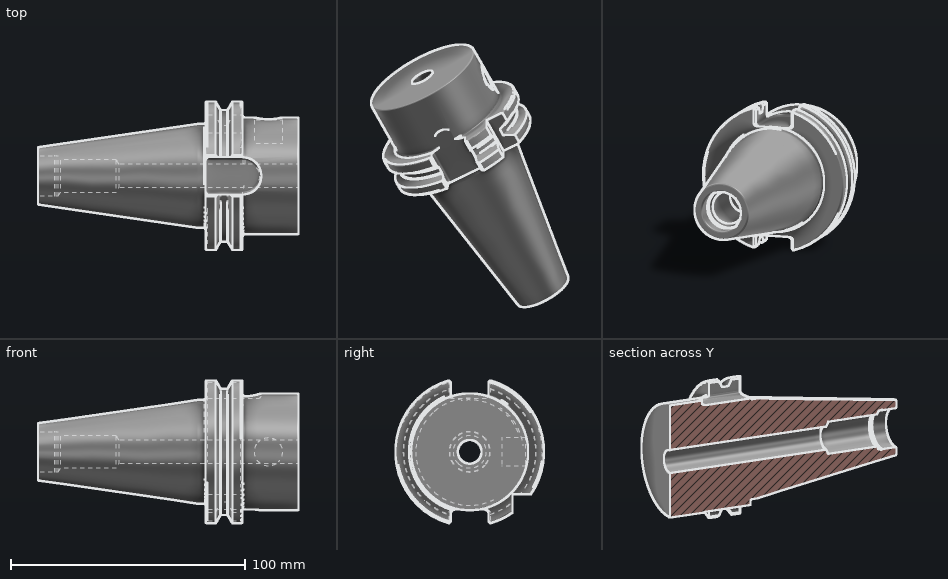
import cadquery as cq
import math


gauge_diameter = 44.5
gauge_x = 68.3
taper_ratio = 7 / 24
small_end_diameter = gauge_diameter - gauge_x * taper_ratio
small_end_fillet = 0.8
taper_root_fillet = 0.7

flange_diameter = 63.5
flange_front_x = 71.5
flange_thickness = 15.8
flange_rear_x = flange_front_x + flange_thickness
flange_edge_fillet = 0.8
groove_center_x = 79.4
groove_top_width = 7.2
groove_floor_diameter = 56.3
groove_half_angle = 30
groove_floor_fillet = 0.5

nose_diameter = 50.0
total_length = 111.2
nose_root_fillet = 1.0
nose_edge_fillet = 0.6

slot_width = 16.0
slot_fillet = 1.6
slot_chamfer = 0.9
slot_chamfer_angle = 45
upper_slot_floor = 22.7
lower_slot_floor = 24.7

notch_y = 18.4
notch_z = -18.1

coolant_diameter = 10.0
thread_core_diameter = 14.0
thread_end_x = 33.4
pilot_diameter = 17.0
pilot_depth = 8.7
pilot_mouth_fillet = 0.8
relief_diameter = 17.5
relief_front_x = 7.1
relief_rear_x = 7.8
step_half_angle = 60

screw_diameter = 12.0
screw_x = 98.3
screw_length = 10.0
screw_top_y = 23.8

flange_radius = flange_diameter / 2
nose_radius = nose_diameter / 2

edge_match_tolerance = 0.01


def round_circle(body, x, diameter, fillet_radius):
    """Fillet the circular edge of this diameter that is centred on the X axis at this x."""

    def is_wanted(edge):
        right_place = abs(edge.Center().x - x) < edge_match_tolerance
        right_size = abs(edge.radius() - diameter / 2) < edge_match_tolerance
        return right_place and right_size

    return body.edges("%CIRCLE").filter(is_wanted).fillet(fillet_radius)


def make_outside():
    groove_floor_radius = groove_floor_diameter / 2
    half_top = groove_top_width / 2
    groove_run = (flange_radius - groove_floor_radius) * math.tan(math.radians(groove_half_angle))
    half_floor = half_top - groove_run
    outline = [
        (0, 0),
        (0, small_end_diameter / 2),
        (gauge_x, gauge_diameter / 2),
        (flange_front_x, gauge_diameter / 2),
        (flange_front_x, flange_radius),
        (groove_center_x - half_top, flange_radius),
        (groove_center_x - half_floor, groove_floor_radius),
        (groove_center_x + half_floor, groove_floor_radius),
        (groove_center_x + half_top, flange_radius),
        (flange_rear_x, flange_radius),
        (flange_rear_x, nose_radius),
        (total_length, nose_radius),
        (total_length, 0),
    ]
    outside = cq.Workplane("XY").polyline(outline).close().revolve(360, (0, 0, 0), (1, 0, 0))
    rounded_circles = [
        (0, small_end_diameter, small_end_fillet),
        (flange_front_x, gauge_diameter, taper_root_fillet),
        (flange_front_x, flange_diameter, flange_edge_fillet),
        (groove_center_x - half_floor, groove_floor_diameter, groove_floor_fillet),
        (groove_center_x + half_floor, groove_floor_diameter, groove_floor_fillet),
        (flange_rear_x, flange_diameter, flange_edge_fillet),
        (flange_rear_x, nose_diameter, nose_root_fillet),
        (total_length, nose_diameter, nose_edge_fillet),
    ]
    for x, diameter, radius in rounded_circles:
        outside = round_circle(outside, x, diameter, radius)
    return outside


def make_bore():
    def cone_length(large_diameter, small_diameter):
        return (large_diameter - small_diameter) / 2 / math.tan(math.radians(step_half_angle))

    pilot_radius = pilot_diameter / 2
    thread_radius = thread_core_diameter / 2
    coolant_radius = coolant_diameter / 2
    relief_radius = relief_diameter / 2
    mouth_radius = pilot_radius + pilot_mouth_fillet
    mouth_mid = pilot_mouth_fillet * (1 - math.sqrt(0.5))
    thread_start_x = pilot_depth + cone_length(pilot_diameter, thread_core_diameter)
    coolant_start_x = thread_end_x + cone_length(thread_core_diameter, coolant_diameter)
    return (
        cq.Workplane("XY")
        .lineTo(0, mouth_radius)
        .threePointArc((mouth_mid, pilot_radius + mouth_mid), (pilot_mouth_fillet, pilot_radius))
        .lineTo(relief_front_x, pilot_radius)
        .lineTo(relief_front_x, relief_radius)
        .lineTo(relief_rear_x, relief_radius)
        .lineTo(relief_rear_x, pilot_radius)
        .lineTo(pilot_depth, pilot_radius)
        .lineTo(thread_start_x, thread_radius)
        .lineTo(thread_end_x, thread_radius)
        .lineTo(coolant_start_x, coolant_radius)
        .lineTo(total_length, coolant_radius)
        .lineTo(total_length, 0)
        .close()
        .revolve(360, (0, 0, 0), (1, 0, 0))
    )


def make_slot(floor_z):
    """Cutter for the slot on the +Z side: round-ended, filleted floor, bevelled mouth edges."""
    half_width = slot_width / 2
    height = flange_radius - floor_z
    slot = (
        cq.Workplane("XY", origin=(0, 0, floor_z))
        .moveTo(flange_front_x - slot_width, -half_width)
        .lineTo(flange_rear_x, -half_width)
        .threePointArc((flange_rear_x + half_width, 0), (flange_rear_x, half_width))
        .lineTo(flange_front_x - slot_width, half_width)
        .close()
        .extrude(height)
    )
    slot = slot.edges("<Z").edges("not <X").fillet(slot_fillet)

    wide_half = half_width + slot_chamfer
    corner_y = wide_half - slot_fillet
    front_flare = (
        cq.Workplane("YZ", origin=(flange_front_x, 0, 0))
        .moveTo(-corner_y, floor_z)
        .lineTo(corner_y, floor_z)
        .radiusArc((wide_half, floor_z + slot_fillet), -slot_fillet)
        .lineTo(wide_half, flange_radius + slot_chamfer)
        .lineTo(-wide_half, flange_radius + slot_chamfer)
        .lineTo(-wide_half, floor_z + slot_fillet)
        .radiusArc((-corner_y, floor_z), -slot_fillet)
        .close()
        .extrude(slot_chamfer, taper=slot_chamfer_angle)
    )
    rim_z = math.sqrt(flange_radius**2 - wide_half**2)
    rim_flare = (
        cq.Workplane("YZ", origin=(flange_front_x, 0, 0))
        .polyline([
            (-half_width, rim_z - slot_chamfer),
            (half_width, rim_z - slot_chamfer),
            (wide_half, rim_z),
            (wide_half, flange_radius),
            (-wide_half, flange_radius),
            (-wide_half, rim_z),
        ])
        .close()
        .extrude(flange_thickness)
    )
    return slot.union(front_flare).union(rim_flare)


def clear_of_taper(cutter):
    """The part of a cutter that lies behind the flange's front face."""
    return cutter.intersect(
        cq.Workplane("XY")
        .box(total_length, flange_diameter, flange_diameter, centered=(False, True, True))
        .translate((flange_front_x, 0, 0))
    )


def make_notch():
    reach = flange_radius
    block = cq.Workplane("XY").box(flange_thickness, reach, reach, centered=False)
    return block.translate((flange_front_x, notch_y, notch_z - reach))


def radial_cylinder(bottom_y, top_y):
    return (
        cq.Workplane("XZ", origin=(screw_x, bottom_y, 0))
        .circle(screw_diameter / 2)
        .extrude(bottom_y - top_y)
    )


def make_holder():
    upper_slot = clear_of_taper(make_slot(upper_slot_floor))
    lower_slot = clear_of_taper(make_slot(lower_slot_floor)).mirror("XY")
    screw_hole = radial_cylinder(screw_top_y - screw_length, flange_radius)
    return (
        make_outside()
        .cut(make_bore())
        .cut(upper_slot)
        .cut(lower_slot)
        .cut(make_notch())
        .cut(screw_hole)
    )


def make_clamping_screw():
    return radial_cylinder(screw_top_y - screw_length, screw_top_y)


holder = make_holder()
clamping_screw = make_clamping_screw()

result = cq.Compound.makeCompound([holder.solids().val(), clamping_screw.val()])